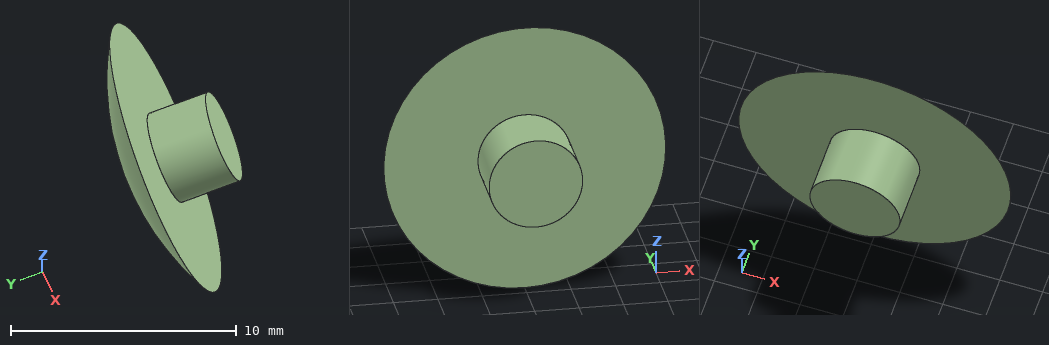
import cadquery as cq

cap_diameter = 12.7
overall_depth = 4.6
stem_diameter = 4.2
stem_length = 2.81

cap_radius = cap_diameter / 2
cap_height = overall_depth - stem_length
sphere_radius = (cap_radius**2 + cap_height**2) / (2 * cap_height)


def make_cap():
    """Spherical cap with its flat face on Y = 0 and its crown toward +Y."""
    sphere = cq.Workplane("XY").sphere(sphere_radius)
    sphere = sphere.translate((0, cap_height - sphere_radius, 0))
    cap_space = cq.Workplane("XZ").circle(cap_diameter).extrude(-overall_depth)
    return sphere.intersect(cap_space)


def make_stem():
    """Round stem running from the flat face toward -Y."""
    return cq.Workplane("XZ").circle(stem_diameter / 2).extrude(stem_length)


result = make_cap().union(make_stem())